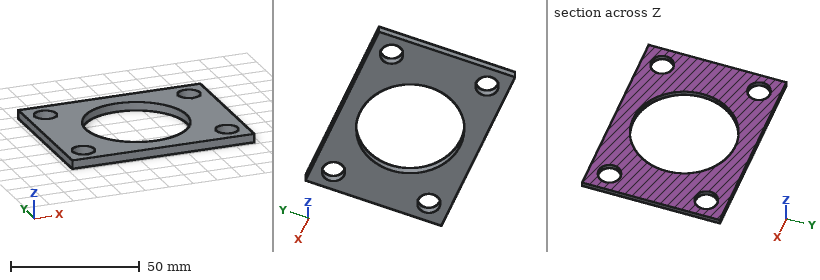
import cadquery as cq

length = 76.0
width = 57.0
thickness = 3.6

bore_diameter = 42.0
bolt_hole_diameter = 9.0
bolt_spacing_x = 60.0
bolt_spacing_y = 40.0

plate = cq.Workplane("XY").box(length, width, thickness)

plate = plate.faces(">Z").workplane().hole(bore_diameter)

result = (
    plate.faces(">Z")
    .workplane(origin=(0, 0, 0))
    .rect(bolt_spacing_x, bolt_spacing_y, forConstruction=True)
    .vertices()
    .hole(bolt_hole_diameter)
)